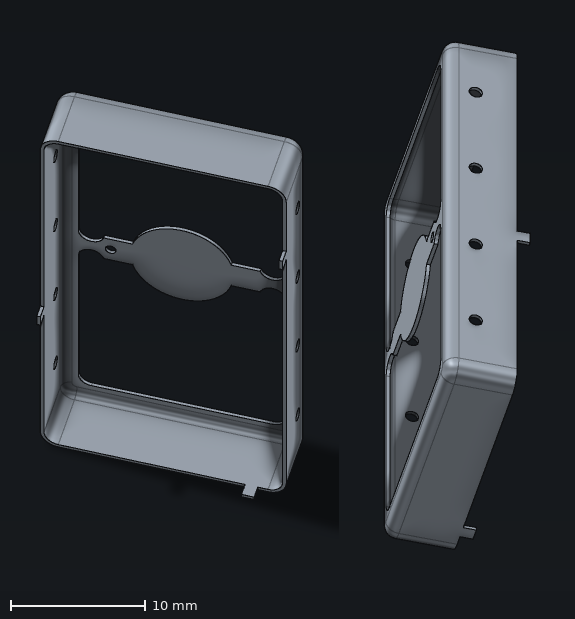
import cadquery as cq

width = 19.0
height = 35.5
wall_depth = 5.5
sheet = 0.3
corner_radius = 1.4
floor_edge_radius = 1.0

floor_rim = 1.5
bridge_waist = 1.0
window_radius = 1.0
arm_width = 2.4
disc_diameter = 8.0
pin_hole_diameter = 0.8
pin_hole_x = -5.5

side_hole_diameter = 1.0
side_hole_pitch = 8.0
side_hole_count = 4
side_hole_setback = 2.3

tab_length = 1.0
tab_width = 1.0
left_tab_z = -2.3
right_tab_z = 10.15
bottom_tab_x = 6.8

floor_y = wall_depth - sheet


def block(size_x, size_z, y_start, y_end, x=0.0, z=0.0):
    """Box centred on (x, z) that spans y_start to y_end."""
    length = y_end - y_start
    return cq.Workplane("XY").box(size_x, length, size_z).translate((x, y_start + length / 2, z))


def cylinder_y(diameter, y_start, y_end, x=0.0):
    """Cylinder along Y at height Z = 0."""
    base = cq.Workplane("XZ", origin=(x, y_start, 0))
    return base.circle(diameter / 2).extrude(y_start - y_end)


def rounded_block(inset):
    """Rounded tray envelope, moved inward from the outer faces by inset."""
    body = block(width - 2 * inset, height - 2 * inset, 0, wall_depth - inset)
    body = body.edges("|Y").fillet(corner_radius - inset)
    return body.faces(">Y").edges().fillet(floor_edge_radius - inset)


def make_shell():
    return rounded_block(0).cut(rounded_block(sheet))


def make_windows():
    """Two openings in the floor, less the centre arm and disc that stay."""
    window_width = width - 2 * floor_rim
    window_height = height / 2 - floor_rim - bridge_waist / 2
    window_z = bridge_waist / 2 + window_height / 2
    arm_length = window_width - 2 * window_radius

    windows = cq.Workplane("XY")
    for side in (-1, 1):
        window = block(window_width, window_height, floor_y, wall_depth, z=side * window_z)
        windows = windows.add(window.edges("|Y").fillet(window_radius))
    windows = windows.combine()

    arm = block(arm_length, arm_width, floor_y, wall_depth)
    for x in (-arm_length / 2, arm_length / 2):
        for side in (-1, 1):
            notch = cylinder_y(2 * window_radius, floor_y, wall_depth, x)
            arm = arm.cut(notch.translate((0, 0, side * (bridge_waist / 2 + window_radius))))

    disc = cylinder_y(disc_diameter, floor_y, wall_depth)
    return windows.cut(arm).cut(disc)


def make_side_holes():
    """Holes along X through both long walls."""
    return (
        cq.Workplane("YZ", origin=(-width / 2, wall_depth - side_hole_setback, 0))
        .rarray(1, side_hole_pitch, 1, side_hole_count)
        .circle(side_hole_diameter / 2)
        .extrude(width)
    )


def make_tabs():
    side_x = (width - sheet) / 2
    bottom_z = -(height - sheet) / 2
    left = block(sheet, tab_width, -tab_length, sheet, -side_x, left_tab_z)
    right = block(sheet, tab_width, -tab_length, sheet, side_x, right_tab_z)
    bottom = block(tab_width, sheet, -tab_length, sheet, bottom_tab_x, bottom_z)
    return [left, right, bottom]


result = make_shell().cut(make_windows()).cut(make_side_holes())
result = result.cut(cylinder_y(pin_hole_diameter, floor_y, wall_depth, pin_hole_x))
for tab in make_tabs():
    result = result.union(tab)